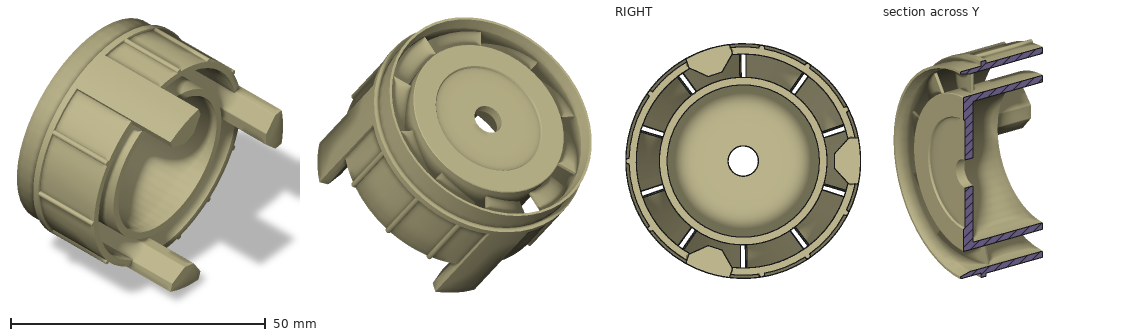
import cadquery as cq
import math

flange_radius = 23.05
collar_radius = 22.1
body_radius = 22.4
collar_length = 5.0
flange_end = 6.3
body_end = 20.05
total_length = 30.3

bore_radius = 21.0
funnel_radius = 21.6
funnel_depth = 2.5

hub_radius = 16.45
hub_front = 0.75
hub_wall = 1.5
hub_edge_chamfer = 0.15
plate_thickness = 2.5
shaft_hole_radius = 2.95
recess_radius = 11.65
recess_floor_radius = 11.4
recess_depth = 0.4

vane_count = 10
vane_pitch = 360 / vane_count
vane_front = 3.1
vane_thickness = 0.6
vane_nose_start = 0.6
vane_nose_end = 2.45
vane_nose_slope = 10.0
vane_end_angle = 34.7
vane_end_slope = 32.0
vane_mid_angle = vane_pitch / 2
vane_inner_section = 13.0
overlap = 0.3

tab_angles = (0, 108, 252)
tab_width = 9.0
tab_inner_distance = 17.9
tab_shoulder_distance = 20.7
tab_flat_width = 2.84
tab_edge_radius = 0.4
side_rib_angles = (26.7, 55.9, 80.7)
rear_rib_angles = (144, 180, 216)
rib_radius = 0.55
rib_centre_distance = 22.5


def disc(radius, start, end):
    """Cylinder on the X axis between two X positions."""
    return cq.Workplane("YZ").workplane(offset=start).circle(radius).extrude(end - start)


def turn(shape, angle):
    """Turn a shape about X; angles run from +Y towards +Z."""
    return shape.rotate((0, 0, 0), (1, 0, 0), angle)


def make_shroud():
    outline = [
        (0, funnel_radius),
        (0, collar_radius),
        (collar_length, collar_radius),
        (collar_length, body_radius),
        (body_end, body_radius),
        (body_end, bore_radius),
        (funnel_depth, bore_radius),
    ]
    return cq.Workplane("XY").polyline(outline).close().revolve(360, (0, 0, 0), (1, 0, 0))


def make_hub():
    plate_back = hub_front + plate_thickness
    recess_floor = hub_front + recess_depth
    cup_radius = hub_radius - hub_wall
    outline = [
        (recess_floor, shaft_hole_radius),
        (recess_floor, recess_floor_radius),
        (hub_front, recess_radius),
        (hub_front, hub_radius - hub_edge_chamfer),
        (hub_front + hub_edge_chamfer, hub_radius),
        (body_end, hub_radius),
        (body_end, cup_radius),
        (plate_back, cup_radius),
        (plate_back, shaft_hole_radius),
    ]
    return cq.Workplane("XY").polyline(outline).close().revolve(360, (0, 0, 0), (1, 0, 0))


def vane_curve(distance, depth):
    """Vane outline `depth` below its front face, in a plane `distance` from the axis.

    The plane is square to the mid-vane direction. Returns (X, sideways) points: nose start,
    bend, middle of the arc and trailing end. The flat nose keeps its width along the vane,
    and the trailing edge is radial.
    """
    nose_slope = math.radians(vane_nose_slope)
    end_slope = math.radians(vane_end_slope)
    quarter_turn = (end_slope - nose_slope) / 4

    def sideways(angle):
        return distance * math.tan(angle - math.radians(vane_mid_angle))

    def below(x, side, slope):
        return (x + depth * math.cos(slope), side - depth * math.sin(slope))

    start_side = sideways(math.atan(vane_nose_start / distance))
    bend_side = sideways(math.atan(vane_nose_end / distance))
    end_side = sideways(math.radians(vane_end_angle))
    bend_x = vane_front + (bend_side - start_side) * math.tan(nose_slope)
    end_x = bend_x + (end_side - bend_side) * math.tan(nose_slope + 2 * quarter_turn)

    start = below(vane_front, start_side, nose_slope)
    bend = below(bend_x, bend_side, nose_slope)
    end = below(end_x, end_side, end_slope)
    half_arc_chord = math.dist(bend, end) / (2 * math.cos(quarter_turn))
    half_arc_slope = nose_slope + quarter_turn
    middle = (
        bend[0] + half_arc_chord * math.sin(half_arc_slope),
        bend[1] + half_arc_chord * math.cos(half_arc_slope),
    )
    return start, bend, middle, end


def vane_section(distance):
    """Closed vane outline between its front and back faces."""
    start, bend, middle, end = vane_curve(distance, 0)
    back_start, back_bend, back_middle, back_end = vane_curve(distance, vane_thickness)
    return (
        cq.Workplane("XY", origin=(0, 0, distance))
        .moveTo(*back_start)
        .lineTo(*back_bend)
        .threePointArc(back_middle, back_end)
        .lineTo(*end)
        .threePointArc(middle, bend)
        .lineTo(*start)
        .close()
        .val()
    )


def clearance_section(distance):
    """Outline of the free space ahead of a vane, reaching half-way into the vane."""
    start, bend, middle, end = vane_curve(distance, vane_thickness / 2)
    return (
        cq.Workplane("XY", origin=(0, 0, distance))
        .moveTo(0, start[1])
        .lineTo(*start)
        .lineTo(*bend)
        .threePointArc(middle, end)
        .lineTo(0, end[1])
        .close()
        .val()
    )


def radial_loft(section):
    """Loft of a section along +Z, from inside the hub wall out to the body surface."""
    return cq.Workplane(cq.Solid.makeLoft([section(vane_inner_section), section(body_radius)], True))


def make_vane():
    """One vane standing on +Z, set into the hub and the shroud."""
    outer_limit = disc(bore_radius + overlap, 0, body_end)
    inner_limit = disc(hub_radius - overlap, 0, body_end)
    return radial_loft(vane_section).intersect(outer_limit.cut(inner_limit))


def make_tab_blank():
    """Tab along +Y, tapered inside, left long at the outside and closed in front by a vane."""
    half_width = tab_width / 2
    half_flat = tab_flat_width / 2
    blank_top = flange_radius + 1
    outline = [
        (tab_inner_distance, -half_flat),
        (tab_shoulder_distance, -half_width),
        (blank_top, -half_width),
        (blank_top, half_width),
        (tab_shoulder_distance, half_width),
        (tab_inner_distance, half_flat),
    ]
    blank = (
        cq.Workplane("YZ")
        .workplane(offset=vane_front)
        .polyline(outline)
        .close()
        .extrude(total_length - vane_front)
        .edges("|X")
        .fillet(tab_edge_radius)
    )
    return blank.cut(turn(radial_loft(clearance_section), -90))


def make_rim_with_tabs():
    """Flange and tabs together, so that they share one outer cylinder."""
    blank_radius = flange_radius + 1
    rim = disc(blank_radius, collar_length, flange_end).cut(disc(bore_radius + overlap, 0, flange_end))
    for angle in tab_angles:
        rim = rim.union(turn(make_tab_blank(), angle))
    flange_limit = disc(flange_radius, collar_length, total_length)
    bore_limit = disc(bore_radius + overlap, 0, collar_length)
    return rim.intersect(flange_limit.union(bore_limit))


def make_rib():
    return (
        cq.Workplane("YZ")
        .workplane(offset=collar_length)
        .center(rib_centre_distance, 0)
        .circle(rib_radius)
        .extrude(body_end - collar_length)
    )


def make_bladed_hub():
    hub = make_hub()
    vane = make_vane()
    for number in range(vane_count):
        hub = hub.union(turn(vane, number * vane_pitch - vane_mid_angle))
    return hub


mirrored_rib_angles = tuple(-angle for angle in side_rib_angles)
result = make_shroud().union(make_rim_with_tabs())
for rib_angle in side_rib_angles + rear_rib_angles + mirrored_rib_angles:
    result = result.union(turn(make_rib(), rib_angle))
result = result.union(make_bladed_hub())